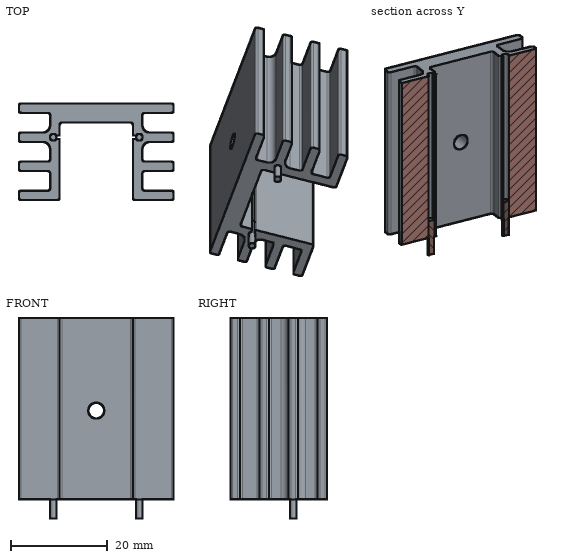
import cadquery as cq

width = 32.0
depth = 20.0
total_height = 41.5
pin_exposed = 4.0
height = total_height - pin_exposed

fin_thickness = 2.0
fin_count = 4
fin_pitch = (depth - fin_thickness) / (fin_count - 1)
channel_width = 15.1
wall_thickness = 2.0
wall_outer = channel_width / 2 + wall_thickness
web_thickness = 4.0
edge_radius = 0.5
pin_root_radius = 1.5

screw_hole_diameter = 3.25
screw_hole_height = 18.35

pin_diameter = 1.4
pin_x = 8.9
pin_fin_index = 2
pin_y = pin_fin_index * fin_pitch + fin_thickness / 2
pin_embedded = pin_exposed
slot_width = 0.65
slot_edge_radius = 0.2

probe = 0.05


def block(x_min, x_max, y_min, y_max):
    """Full-height block between the given X and Y limits."""
    return cq.Workplane("XY").box(
        x_max - x_min, y_max - y_min, height, centered=False
    ).translate((x_min, y_min, 0))


def round_edges(body, corners, radius):
    """Fillet the vertical edges that stand at the given (x, y) corners."""
    selector = None
    for x, y in corners:
        box = cq.selectors.BoxSelector(
            (x - probe, y - probe, -probe), (x + probe, y + probe, height + probe)
        )
        selector = box if selector is None else selector + box
    return body.edges("|Z").edges(selector).fillet(radius)


def make_extrusion():
    """U-shaped channel with side fins and rounded corners."""
    body = block(-width / 2, width / 2, 0, depth)
    body = body.cut(block(-channel_width / 2, channel_width / 2, 0, depth - web_thickness))

    small_corners = []
    large_corners = []
    for side in (-1, 1):
        small_corners.append((side * channel_width / 2, 0))
        small_corners.append((side * channel_width / 2, depth - web_thickness))
        inner, outer = sorted((side * wall_outer, side * width / 2))
        for index in range(fin_count):
            fin_front = index * fin_pitch
            fin_back = fin_front + fin_thickness
            small_corners.append((side * width / 2, fin_front))
            small_corners.append((side * width / 2, fin_back))

            roots = large_corners if index == pin_fin_index else small_corners
            if index > 0:
                roots.append((side * wall_outer, fin_front))
            if index < fin_count - 1:
                roots.append((side * wall_outer, fin_back))
                body = body.cut(block(inner, outer, fin_back, fin_front + fin_pitch))

    body = round_edges(body, small_corners, edge_radius)
    return round_edges(body, large_corners, pin_root_radius)


def cut_pin_seats(body):
    """Cut the two full-height bores and their rounded slots into the channel."""
    mouth_corners = []
    for side in (-1, 1):
        bore = cq.Workplane("XY").center(side * pin_x, pin_y).circle(pin_diameter / 2).extrude(height)
        x_min, x_max = sorted((side * channel_width / 2, side * pin_x))
        slot = block(x_min, x_max, pin_y - slot_width / 2, pin_y + slot_width / 2)
        body = body.cut(bore).cut(slot)
        for edge in (-1, 1):
            mouth_corners.append((side * channel_width / 2, pin_y + edge * slot_width / 2))
    return round_edges(body, mouth_corners, slot_edge_radius)


def cut_screw_hole(body):
    """Drill the screw hole through the web along Y."""
    drill = (
        cq.Workplane("XZ", origin=(0, depth, screw_hole_height))
        .circle(screw_hole_diameter / 2)
        .extrude(web_thickness)
    )
    return body.cut(drill)


def make_pin(x):
    """Round pin, partly seated in its bore and partly below the housing."""
    return (
        cq.Workplane("XY", origin=(x, pin_y, -pin_exposed))
        .circle(pin_diameter / 2)
        .extrude(pin_exposed + pin_embedded)
    )


housing = cut_screw_hole(cut_pin_seats(make_extrusion()))

pins = []
for side in (-1, 1):
    pins.append(make_pin(side * pin_x).val())

result = cq.Compound.makeCompound([housing.val(), *pins])